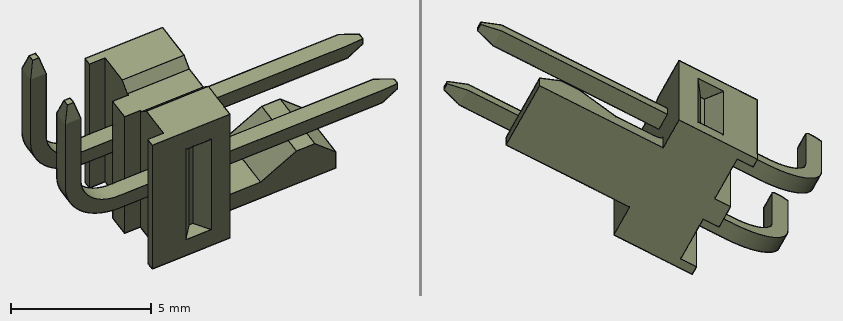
import cadquery as cq
import math

HOUSING_WIDTH = 4.93
HOUSING_DEPTH = 3.17
HOUSING_HEIGHT = 6.34

RECESS_DEPTH = 0.64
SIDE_WALL = 0.33
RIB_WIDTH = 0.87

NOTCH_TOP_WIDTH = 1.78
NOTCH_FLOOR_WIDTH = 1.03
NOTCH_DEPTH = 0.37

POCKET_FRONT = 0.77
POCKET_WIDTH = 1.04
POCKET_FLOOR_WIDTH = 0.15
POCKET_FRONT_TAPER = 0.42
POCKET_DEPTH = 0.59
POCKET_BOTTOM = 0.82
POCKET_TOP = 5.44

LATCH_WIDTH = 2.54
LATCH_LENGTH = 4.99
LATCH_THICKNESS = 0.82
HOOK_HEIGHT = 1.68
HOOK_CREST_START = 0.86
HOOK_CREST_END = 1.61
HOOK_RAMP_END = 3.08
LATCH_ROOT_RADIUS = 0.35

PIN_PITCH = 2.54
PIN_SIZE = 0.64
PIN_TIP_SIZE = 0.26
PIN_TIP_LENGTH = 0.74
PIN_AXIS_Z = 3.09
PIN_TOP = 8.89
PIN_LENGTH = 13.67
PIN_FRONT = 7.44
BEND_OUTER_RADIUS = 2.19


def make_housing():
    body = cq.Workplane("XY").box(
        HOUSING_WIDTH, HOUSING_DEPTH, HOUSING_HEIGHT, centered=(True, False, False)
    )
    body = body.translate((0, -HOUSING_DEPTH, 0))

    notch_floor = HOUSING_HEIGHT - NOTCH_DEPTH
    notch = (
        cq.Workplane("XZ")
        .polyline([
            (-NOTCH_TOP_WIDTH / 2, HOUSING_HEIGHT),
            (-NOTCH_FLOOR_WIDTH / 2, notch_floor),
            (NOTCH_FLOOR_WIDTH / 2, notch_floor),
            (NOTCH_TOP_WIDTH / 2, HOUSING_HEIGHT),
        ])
        .close()
        .extrude(HOUSING_DEPTH)
    )
    body = body.cut(notch)

    recess_width = (HOUSING_WIDTH - RIB_WIDTH) / 2 - SIDE_WALL
    recess_x = (RIB_WIDTH + recess_width) / 2
    recesses = (
        cq.Workplane("XY")
        .pushPoints([(side * recess_x, RECESS_DEPTH / 2 - HOUSING_DEPTH) for side in (-1, 1)])
        .rect(recess_width, RECESS_DEPTH)
        .extrude(HOUSING_HEIGHT)
    )
    body = body.cut(recesses)

    for side in (-1, 1):
        body = body.cut(make_side_pocket(side))
    return body


def make_side_pocket(side):
    outer_x = side * HOUSING_WIDTH / 2
    floor_x = outer_x - side * POCKET_DEPTH
    floor_front = -POCKET_FRONT - POCKET_FRONT_TAPER
    return (
        cq.Workplane("XY", origin=(0, 0, POCKET_BOTTOM))
        .polyline([
            (outer_x, -POCKET_FRONT),
            (floor_x, floor_front),
            (floor_x, floor_front - POCKET_FLOOR_WIDTH),
            (outer_x, -POCKET_FRONT - POCKET_WIDTH),
        ])
        .close()
        .extrude(POCKET_TOP - POCKET_BOTTOM)
    )


def make_latch():
    root_mid = LATCH_ROOT_RADIUS * (1 - math.sqrt(0.5))
    return (
        cq.Workplane("YZ", origin=(-LATCH_WIDTH / 2, 0, 0))
        .moveTo(0, 0)
        .lineTo(LATCH_LENGTH, 0)
        .lineTo(LATCH_LENGTH, LATCH_THICKNESS)
        .lineTo(LATCH_LENGTH - HOOK_CREST_START, HOOK_HEIGHT)
        .lineTo(LATCH_LENGTH - HOOK_CREST_END, HOOK_HEIGHT)
        .lineTo(LATCH_LENGTH - HOOK_RAMP_END, LATCH_THICKNESS)
        .lineTo(LATCH_ROOT_RADIUS, LATCH_THICKNESS)
        .threePointArc(
            (root_mid, LATCH_THICKNESS + root_mid),
            (0, LATCH_THICKNESS + LATCH_ROOT_RADIUS),
        )
        .close()
        .extrude(LATCH_WIDTH)
    )


def make_tip(base_plane):
    return (
        cq.Workplane(base_plane)
        .rect(PIN_SIZE, PIN_SIZE)
        .workplane(offset=PIN_TIP_LENGTH)
        .rect(PIN_TIP_SIZE, PIN_TIP_SIZE)
        .loft(ruled=True)
    )


def make_pin(x):
    tail_y = PIN_FRONT - PIN_LENGTH + PIN_SIZE / 2
    front_base_y = PIN_FRONT - PIN_TIP_LENGTH
    top_base_z = PIN_TOP - PIN_TIP_LENGTH
    bend_radius = BEND_OUTER_RADIUS - PIN_SIZE / 2
    bend_y = tail_y + bend_radius
    bend_z = PIN_AXIS_Z + bend_radius
    bend_mid = bend_radius * math.sqrt(0.5)

    path = (
        cq.Workplane("YZ", origin=(x, 0, 0))
        .moveTo(front_base_y, PIN_AXIS_Z)
        .lineTo(bend_y, PIN_AXIS_Z)
        .threePointArc((bend_y - bend_mid, bend_z - bend_mid), (tail_y, bend_z))
        .lineTo(tail_y, top_base_z)
    )
    front_plane = cq.Plane(origin=(x, front_base_y, PIN_AXIS_Z), xDir=(1, 0, 0), normal=(0, 1, 0))
    top_plane = cq.Plane(origin=(x, tail_y, top_base_z), xDir=(1, 0, 0), normal=(0, 0, 1))
    shaft = cq.Workplane(front_plane).rect(PIN_SIZE, PIN_SIZE).sweep(path)
    return shaft.union(make_tip(front_plane)).union(make_tip(top_plane))


result = make_housing().union(make_latch())
for pin_side in (-1, 1):
    result = result.union(make_pin(pin_side * PIN_PITCH / 2))